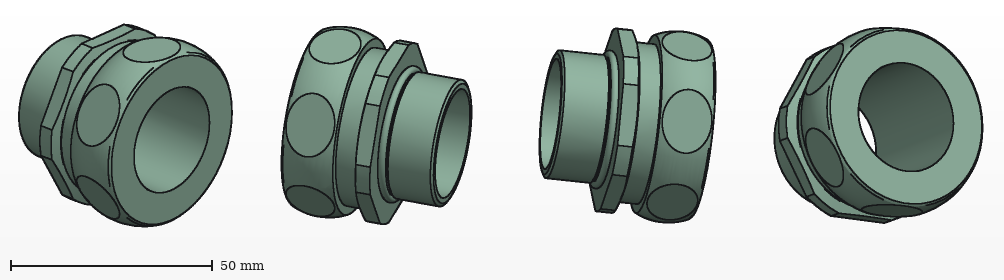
import cadquery as cq
import math

bore_diameter = 27.5

spigot_radius = 32.0 / 2
spigot_neck_radius = 30.15 / 2
spigot_chamfer_length = 0.52
spigot_end = 12.1

ring_outer_radius = 34.5 / 2
ring_section_radius = 1.0
ring_center_x = 13.15

flange_start = 14.07
flange_cone_start = 17.85
flange_end = 18.7
flange_across_flats = 43.05
flange_corner_radius = 45.7 / 2
flange_cone_end_radius = 20.25

collar_radius = 40.0 / 2

nut_start = 23.95
nut_end = 37.5
nut_barrel_radius = 47.7 / 2
nut_edge_radius = 22.25
nut_across_flats = 45.0
nut_chamfer_length = 0.55
nut_chamfer_depth = 0.55


def revolve_about_axis(profile):
    return profile.close().revolve(360, (0, 0, 0), (1, 0, 0))


def hex_prism(across_flats, start, end):
    """Hexagonal prism along X with one pair of flats facing +Z and -Z."""
    across_corners = across_flats / math.cos(math.pi / 6)
    return (
        cq.Workplane("YZ")
        .workplane(offset=start)
        .polygon(6, across_corners)
        .extrude(end - start)
    )


def make_spigot_and_collar():
    return revolve_about_axis(
        cq.Workplane("XY")
        .lineTo(0, spigot_neck_radius)
        .lineTo(spigot_chamfer_length, spigot_radius)
        .lineTo(spigot_end - spigot_chamfer_length, spigot_radius)
        .lineTo(spigot_end, spigot_neck_radius)
        .lineTo(flange_start, spigot_neck_radius)
        .lineTo(flange_start, collar_radius)
        .lineTo(nut_end - nut_chamfer_length, collar_radius)
        .lineTo(nut_end - nut_chamfer_length, 0)
    )


def make_ring():
    ring_center_radius = ring_outer_radius - ring_section_radius
    return (
        cq.Workplane("XY")
        .center(ring_center_x, ring_center_radius)
        .circle(ring_section_radius)
        .revolve(360, (0, -ring_center_radius, 0), (1, -ring_center_radius, 0))
    )


def make_flange():
    envelope = revolve_about_axis(
        cq.Workplane("XY")
        .moveTo(flange_start, 0)
        .lineTo(flange_start, flange_corner_radius)
        .lineTo(flange_cone_start, flange_corner_radius)
        .lineTo(flange_end, flange_cone_end_radius)
        .lineTo(flange_end, 0)
    )
    return envelope.intersect(hex_prism(flange_across_flats, flange_start, flange_end))


def make_nut():
    middle = (nut_start + nut_end) / 2
    half_width = (nut_end - nut_start) / 2
    bulge = nut_barrel_radius - nut_edge_radius
    arc_radius = (half_width**2 + bulge**2) / (2 * bulge)
    chamfer_start = nut_end - nut_chamfer_length
    arc_drop = arc_radius - math.sqrt(arc_radius**2 - (chamfer_start - middle) ** 2)
    chamfer_start_radius = nut_barrel_radius - arc_drop

    barrel = revolve_about_axis(
        cq.Workplane("XY")
        .moveTo(nut_start, 0)
        .lineTo(nut_start, nut_edge_radius)
        .threePointArc((middle, nut_barrel_radius), (chamfer_start, chamfer_start_radius))
        .lineTo(nut_end, chamfer_start_radius - nut_chamfer_depth)
        .lineTo(nut_end, 0)
    )
    return barrel.intersect(hex_prism(nut_across_flats, nut_start, nut_end))


bore = cq.Workplane("YZ").circle(bore_diameter / 2).extrude(nut_end)

result = (
    make_spigot_and_collar()
    .union(make_ring())
    .union(make_flange())
    .union(make_nut())
    .cut(bore)
)